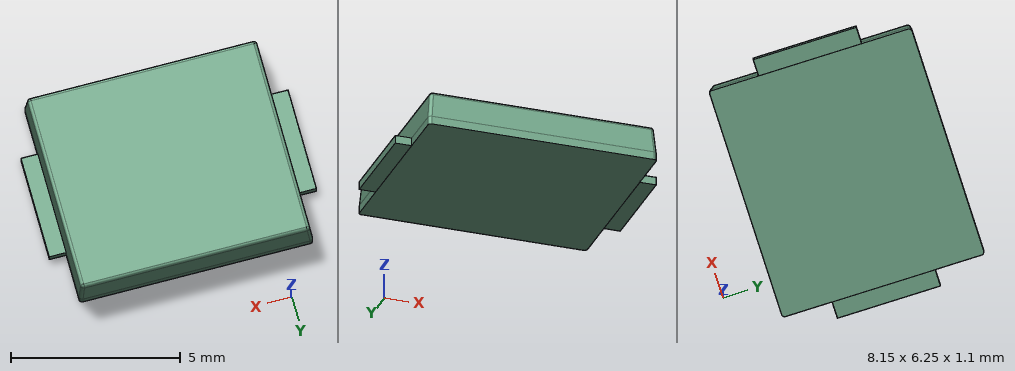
import cadquery as cq
import math

overall_length = 8.15
housing_length = 7.12
housing_width = 6.25
housing_height = 1.1
base_height = 0.25
draft_angle = 5.0
edge_radius = 0.1
lead_width = 3.19

lead_thickness = base_height
lead_length = (overall_length - housing_length) / 2
lead_center_x = (housing_length + lead_length) / 2
draft_height = housing_height - base_height
draft_inset = draft_height * math.tan(math.radians(draft_angle))


def make_housing():
    """Moulded housing: a straight base carrying a tapered block, rounded along its outer edges."""
    base = cq.Workplane("XY").rect(housing_length, housing_width).extrude(base_height)
    tapered_block = (
        cq.Workplane("XY")
        .workplane(offset=base_height)
        .rect(housing_length, housing_width)
        .workplane(offset=draft_height)
        .rect(housing_length - 2 * draft_inset, housing_width - 2 * draft_inset)
        .loft(ruled=True)
    )
    housing = base.union(tapered_block)
    corner_edges = housing.edges("not #Z")
    housing = corner_edges.fillet(edge_radius)
    return housing.faces(">Z").edges().fillet(edge_radius)


def make_lead(side):
    """Flat lead butting against the housing wall at the -X (side = -1) or +X (side = +1) end."""
    return (
        cq.Workplane("XY")
        .center(side * lead_center_x, 0)
        .rect(lead_length, lead_width)
        .extrude(lead_thickness)
    )


housing = make_housing()
leads = [make_lead(side) for side in (-1, 1)]

result = cq.Compound.makeCompound([housing.val(), *[lead.val() for lead in leads]])